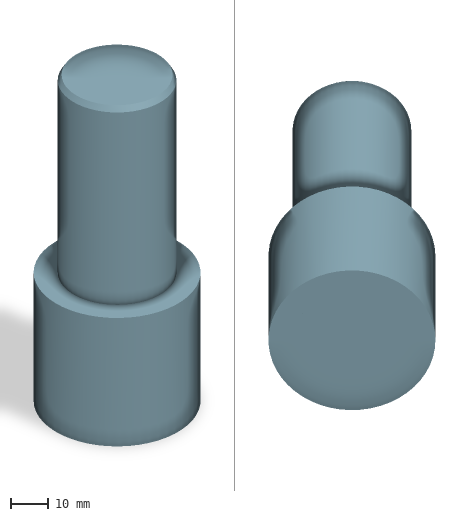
import cadquery as cq

total_height = 104.8
collar_diameter = 45.0
collar_height = 41.3
shank_diameter = 32.0

tip_chamfer_height = 1.7
tip_chamfer_width = 1.0


def make_collar():
    """Round collar with a through bore that fits the shank."""
    return (
        cq.Workplane("XY")
        .circle(collar_diameter / 2)
        .circle(shank_diameter / 2)
        .extrude(collar_height)
    )


def make_shank():
    """Round shank along the full height, flush with the collar below and chamfered on top."""
    shank = cq.Workplane("XY").circle(shank_diameter / 2).extrude(total_height)
    tip_edge = shank.faces(">Z").edges()
    return tip_edge.chamfer(tip_chamfer_height, tip_chamfer_width)


collar = make_collar()
shank = make_shank()

result = cq.Compound.makeCompound([collar.val(), shank.val()])